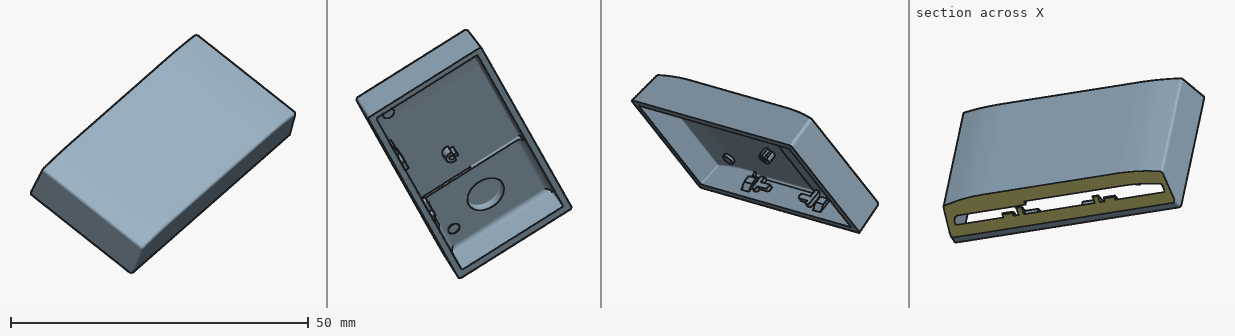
import cadquery as cq
import math


roll_angle = 33.4
pitch_angle = 20.1

length = 44.7
width = 22.45
height = 7.1
end_draft = 7.0
side_draft = 1.5
flat_half_length = 13.5
crown_radius = 41.9
edge_radius = 0.5

wall = 1.2
ceiling = 5.1
ceiling_crown_radius = crown_radius - (height - ceiling)
cavity_corner_radius = 0.25

plate_start = -6.05
plate_ceiling = 4.55
plate_fillet = 1.0
plate_end_wall = 1.55

pocket_diameter = 6.75
pocket_y = -13.1
pocket_ceiling = 5.95
pocket_fillet = 0.25

recess_depth = 0.5
recess_bottom = 4.25
recess_start = -7.5
recess_end = 11.05

boss_diameter = 2.05
boss_x = 7.55
boss_y = 16.0
boss_bottom = 4.45

post_diameter = 2.2
post_rib = 0.7
post_flat = 0.4
post_hole = 0.95
post_hole_depth = 0.7
post_x = 1.95
post_bottom = 3.4

root_depth = 0.25

hook_protrusion = 0.75
hook_outer_y = 8.05
hook_stem = 1.15
hook_reach = 3.65
hook_bottom = 1.5
arm_bottom = 2.15
arm_top = 3.15
hook_round = 0.4
hook_root_depth = 0.495
arm_overlap = 0.05

snap_y = 10.0
snap_width = 2.1
snap_protrusion = 0.5
snap_bottom = 1.15
snap_ramp_top = 2.45
snap_top = 3.7
snap_root_depth = wall / 3

end_slope = math.tan(math.radians(end_draft))
side_slope = math.tan(math.radians(side_draft))
inner_half_length = length / 2 - wall
inner_half_width = width / 2 - wall


def crown_drop(radius, y):
    """Fall of a crown below its flat middle at the distance y from the centre."""
    return radius - math.sqrt(radius**2 - (y - flat_half_length) ** 2)


def crown_end(half_length, top, radius):
    """Point where a crown meets a drafted end wall, found by repeated substitution."""
    z = top
    for _ in range(20):
        y = half_length - end_slope * z
        z = top - crown_drop(radius, y)
    return y, z


def drafted_block(half_length, half_width, top):
    """Flat-topped block whose four sides lean inwards."""
    top_half_width = half_width - side_slope * top
    top_half_length = half_length - end_slope * top
    across = (
        cq.Workplane("XZ")
        .polyline([(-half_width, 0), (half_width, 0), (top_half_width, top), (-top_half_width, top)])
        .close()
        .extrude(half_length, both=True)
    )
    along = (
        cq.Workplane("YZ")
        .polyline([(-half_length, 0), (half_length, 0), (top_half_length, top), (-top_half_length, top)])
        .close()
        .extrude(half_width, both=True)
    )
    return across.intersect(along)


def crowned_block(half_length, half_width, top, radius):
    """Drafted block with a flat top that curves down towards both ends."""
    end_y, end_z = crown_end(half_length, top, radius)
    mid_y = (flat_half_length + end_y) / 2
    mid_z = top - crown_drop(radius, mid_y)
    lengthwise = (
        cq.Workplane("YZ")
        .moveTo(-half_length, 0)
        .lineTo(half_length, 0)
        .lineTo(end_y, end_z)
        .threePointArc((mid_y, mid_z), (flat_half_length, top))
        .lineTo(-flat_half_length, top)
        .threePointArc((-mid_y, mid_z), (-end_y, end_z))
        .close()
        .extrude(half_width, both=True)
    )
    return lengthwise.intersect(drafted_block(half_length, half_width, top))


def slab(x_range, y_range, z_range):
    """Box between two limits along each axis."""
    sizes = [high - low for low, high in (x_range, y_range, z_range)]
    corner = (x_range[0], y_range[0], z_range[0])
    return cq.Workplane().box(*sizes, centered=False).translate(corner)


def wall_x(z):
    """Inner face of the +X wall at the height z."""
    return inner_half_width - side_slope * z


def wall_recess(y_range, top):
    """Recess cut into the +X wall just under the roof."""
    recess = slab((0, wall_x(recess_bottom) + recess_depth), y_range, (recess_bottom, top))
    return recess.edges(">X and >Z").fillet(cavity_corner_radius)


def stop_boss(side):
    """Round boss hanging from the roof near one end."""
    return (
        cq.Workplane("XY", origin=(boss_x, side * boss_y, boss_bottom))
        .circle(boss_diameter / 2)
        .extrude(ceiling + root_depth - boss_bottom)
    )


def centre_post():
    """Round post with a notch on each side of a rib and a blind hole in its end."""
    post_height = ceiling + root_depth - post_bottom
    post = cq.Workplane().circle(post_diameter / 2).extrude(post_height)
    for side in (1, -1):
        notch_y = sorted((side * post_rib / 2, side * post_diameter))
        post = post.cut(slab((-post_diameter, -post_flat), notch_y, (0, post_height)))
    post = post.cut(cq.Workplane().circle(post_hole / 2).extrude(post_hole_depth))
    return post.translate((post_x, 0, post_bottom))


def hook(side, stem_top):
    """Upright stem with an arm that points to the middle of the cover."""
    x_range = (wall_x(arm_bottom) - hook_protrusion, inner_half_width + hook_root_depth)
    inner_y = hook_outer_y - hook_stem
    stem = slab(x_range, (inner_y, hook_outer_y), (hook_bottom, stem_top))
    stem = stem.edges("|X and <Z").fillet(hook_round)
    arm = slab(x_range, (hook_outer_y - hook_reach, inner_y + arm_overlap), (arm_bottom, arm_top))
    arm = arm.edges("|X and <Y and <Z").fillet(hook_round)
    shape = stem.union(arm)
    return shape if side > 0 else shape.mirror("XZ")


def snap_wedge(side):
    """Wedge with a ramp that rises from the wall to a land."""
    root_x = inner_half_width + snap_root_depth
    profile = [
        (wall_x(snap_bottom), snap_bottom),
        (wall_x(snap_ramp_top) - snap_protrusion, snap_ramp_top),
        (wall_x(snap_top) - snap_protrusion, snap_top),
        (root_x, snap_top),
        (root_x, snap_bottom),
    ]
    return (
        cq.Workplane("XZ", origin=(0, side * snap_y, 0))
        .polyline(profile)
        .close()
        .extrude(snap_width / 2, both=True)
    )


all_x = (-width, width)
below_base = -0.45

body = crowned_block(length / 2, width / 2, height, crown_radius)
body = body.edges("not <Z").fillet(edge_radius)

main_cavity = crowned_block(inner_half_length, inner_half_width, ceiling, ceiling_crown_radius)
main_cavity = main_cavity.cut(slab(all_x, (-length, plate_start), (below_base, height)))
main_cavity = main_cavity.edges("(not <Z) and ((not <Y) or |X)").fillet(cavity_corner_radius)

plate_block = drafted_block(length / 2 - plate_end_wall, inner_half_width, plate_ceiling)
plate_cavity = plate_block.edges("not (|X or |Y)").fillet(cavity_corner_radius)
plate_cavity = plate_cavity.intersect(plate_block.faces(">Z").edges().fillet(plate_fillet))
plate_cavity = plate_cavity.cut(slab(all_x, (plate_start, length), (below_base, height)))

plate_corner = plate_block.intersect(slab((0, width), (recess_start, plate_start), (0, height)))

main_recess = wall_recess((plate_start, recess_end), ceiling)
plate_recess = wall_recess((recess_start, plate_start), plate_ceiling)

pocket = (
    cq.Workplane()
    .center(0, pocket_y)
    .circle(pocket_diameter / 2)
    .extrude(pocket_ceiling)
    .faces(">Z")
    .edges()
    .fillet(pocket_fillet)
    .cut(slab(all_x, (-length, length), (0, plate_ceiling)))
)

for hollow in (main_cavity, plate_cavity, plate_corner, main_recess, plate_recess, pocket):
    body = body.cut(hollow)

body = body.union(centre_post())
for side, stem_top in ((1, recess_bottom), (-1, plate_ceiling)):
    body = body.union(stop_boss(side))
    body = body.union(hook(side, stem_top))
    body = body.union(snap_wedge(side))

result = body.rotate((0, 0, 0), (0, 1, 0), roll_angle).rotate((0, 0, 0), (1, 0, 0), pitch_angle)